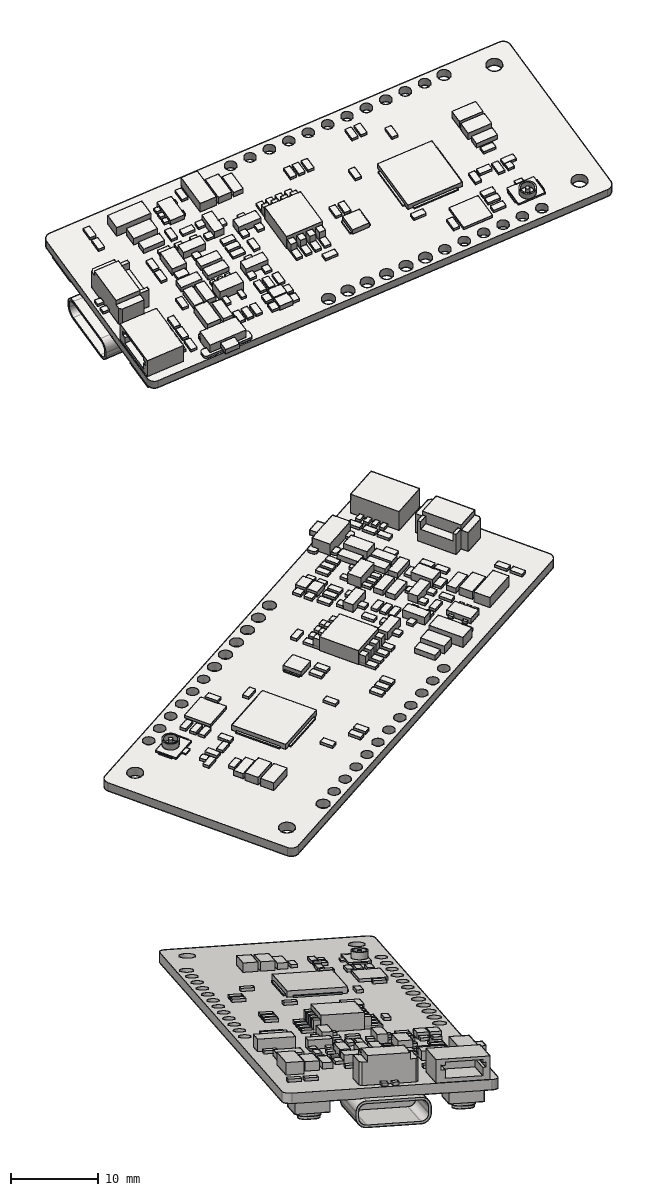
import cadquery as cq

BOARD_WIDTH = 25.4
BOARD_LENGTH = 60.75
BOARD_THICKNESS = 1.25
BOARD_CORNER_RADIUS = 0.9
UNDERSIDE = -BOARD_THICKNESS

MOUNTING_HOLE_DIAMETER = 1.9
MOUNTING_HOLE_X = 10.0
MOUNTING_HOLE_Y = 57.65
PIN_HOLE_DIAMETER = 1.4
WIDE_PIN_HOLE_DIAMETER = 1.6
PIN_HOLE_X = 11.45
PIN_HOLE_PITCH = 2.55
PIN_HOLES_PER_ROW = 12
FIRST_PIN_HOLE_Y = 23.9
WIDE_HOLE_ROWS = {-1: [11], 1: [0, 1, 2, 3, 4, 5]}

SMALL_CHIP = (1.6, 0.8, 0.4)
MEDIUM_CHIP = (2.7, 1.25, 0.75)
LARGE_CHIP = (3.1, 1.75, 1.1)
TALL_CHIP = (4.45, 2.1, 1.5)

SMALL_CHIPS_ALONG_X = [
    (3.9, 50.4), (3.9, 47.35), (8.75, 41.8), (-6.7, 42.35), (-8.75, 39.4), (-8.75, 38.25), (-3.3, 35.65),
    (-7.05, 31.55), (-7.05, 30.4), (-7.05, 29.25), (0.55, 32.1), (0.55, 30.9), (-10.2, 16.8), (0.4, 20.3),
    (6.2, 20.3), (6.2, 19.0), (6.2, 17.9), (-5.6, 12.8), (9.0, 15.8), (9.0, 14.7), (9.0, 13.6),
    (-2.6, 8.75), (-0.7, 8.75), (4.0, 8.9), (6.1, 6.7), (8.0, 6.7), (10.0, 6.7), (-10.35, 4.85),
    (-8.35, 4.85),
]
SMALL_CHIPS_ALONG_Y = [
    (0.75, 50.8), (3.4, 52.0), (3.4, 48.85), (6.6, 47.55), (7.7, 47.55), (9.0, 47.55), (5.6, 39.0),
    (5.95, 27.2), (-1.7, 18.1), (-0.55, 18.1), (0.55, 18.1), (-5.2, 14.75),
]
MEDIUM_CHIPS_ALONG_X = [(-8.55, 22.55), (4.1, 11.9), (4.1, 10.35), (7.45, 12.3)]
MEDIUM_CHIPS_ALONG_Y = [(-0.7, 51.15), (0.05, 14.6), (1.7, 14.6), (-5.4, 10.15), (1.75, 11.1)]
LARGE_CHIPS_ALONG_X = [(-8.7, 20.75), (7.4, 10.35)]
LARGE_CHIPS_ALONG_Y = [(-4.5, 51.1), (-2.5, 51.1), (-7.3, 10.0)]
TALL_CHIPS_ALONG_X = [(-9.3, 18.55)]
TALL_CHIPS_ALONG_Y = [(-9.6, 9.6)]

TRANSISTORS = [(-2.7, 21.2, 0), (3.15, 18.85, 0), (-4.3, 17.6, -90), (-2.5, 13.8, 180)]

LEAD_HEIGHT = 0.4
PAD_HEIGHT = 0.2


def block(x, y, length, width, height, base=0.0):
    """Box centred on (x, y), rising by height from base."""
    return cq.Workplane().box(length, width, height, centered=(True, True, False)).translate((x, y, base))


def span(x_range, y_range, z_range):
    """Box given by its limits along each axis."""
    sizes = [end - start for start, end in (x_range, y_range, z_range)]
    corner = (x_range[0], y_range[0], z_range[0])
    return cq.Workplane().box(*sizes, centered=False).translate(corner)


def drill(board, x, y, diameter):
    """Through hole in the board at (x, y)."""
    hole = cq.Workplane(origin=(x, y, UNDERSIDE)).circle(diameter / 2).extrude(BOARD_THICKNESS)
    return board.cut(hole)


def make_board():
    board = block(0, BOARD_LENGTH / 2, BOARD_WIDTH, BOARD_LENGTH, BOARD_THICKNESS, UNDERSIDE)
    board = board.edges("|Z").fillet(BOARD_CORNER_RADIUS)
    for side, wide_rows in WIDE_HOLE_ROWS.items():
        board = drill(board, side * MOUNTING_HOLE_X, MOUNTING_HOLE_Y, MOUNTING_HOLE_DIAMETER)
        for row in range(PIN_HOLES_PER_ROW):
            y = FIRST_PIN_HOLE_Y + row * PIN_HOLE_PITCH
            diameter = WIDE_PIN_HOLE_DIAMETER if row in wide_rows else PIN_HOLE_DIAMETER
            board = drill(board, side * PIN_HOLE_X, y, diameter)
    return board


def make_chips():
    groups = [
        (SMALL_CHIP, SMALL_CHIPS_ALONG_X, SMALL_CHIPS_ALONG_Y),
        (MEDIUM_CHIP, MEDIUM_CHIPS_ALONG_X, MEDIUM_CHIPS_ALONG_Y),
        (LARGE_CHIP, LARGE_CHIPS_ALONG_X, LARGE_CHIPS_ALONG_Y),
        (TALL_CHIP, TALL_CHIPS_ALONG_X, TALL_CHIPS_ALONG_Y),
    ]
    chips = []
    for (length, width, height), along_x, along_y in groups:
        chips += [block(x, y, length, width, height) for x, y in along_x]
        chips += [block(x, y, width, length, height) for x, y in along_y]
    chips.append(span((3.85, 4.7), (51.25, 52.05), (0, SMALL_CHIP[2])))
    return chips


def make_transistor(x, y, turn):
    """Three-lead transistor; at turn 0 its single lead points to -X."""
    body_length = 1.3
    body_width = 2.9
    body_height = 1.1
    lead_width = 0.85
    lead_reach = 0.9
    lead_x = (body_length + lead_reach) / 2
    outer_lead_y = 1.0
    pieces = [block(0, 0, body_length, body_width, body_height)]
    for px, py in [(-lead_x, 0), (lead_x, outer_lead_y), (lead_x, -outer_lead_y)]:
        pieces.append(block(px, py, lead_reach, lead_width, LEAD_HEIGHT))
    return [piece.rotate((0, 0, 0), (0, 0, 1), turn).translate((x, y, 0)) for piece in pieces]


def make_regulator():
    """Five-lead regulator with three leads to -X and two to +X."""
    x, y = 4.8, 14.5
    length, width, height = 1.75, 3.1, 1.5
    lead_reach = 1.1
    lead_width = 0.6
    lead_pitch = 1.0
    lead_x = (length + lead_reach) / 2
    pieces = [block(x, y, length, width, height)]
    for side, rows in ((-1, (-1, 0, 1)), (1, (-1, 1))):
        for row in rows:
            pieces.append(block(x + side * lead_x, y + row * lead_pitch, lead_reach, lead_width, LEAD_HEIGHT))
    return pieces


def make_sensor():
    """Flat chip with two leads on its +Y side and three on its -Y side."""
    x, y = -8.6, 14.5
    length, width, height = 3.15, 1.85, 0.75
    lead_width = 0.6
    lead_pitch = 0.9
    pieces = [block(x, y, length, width, height)]
    for side, reach, columns in ((1, 0.3, (-1, 1)), (-1, 0.6, (-1, 0, 1))):
        lead_y = y + side * (width + reach) / 2
        for column in columns:
            pieces.append(block(x + column * lead_pitch, lead_y, lead_width, reach, LEAD_HEIGHT))
    return pieces


def make_diodes():
    """Two small diodes along Y and a larger one along X, each with a lead at both ends."""
    y = 19.1
    length, width, height = 1.75, 1.35, 0.75
    lead_span, lead_width = 3.6, 1.05
    pieces = []
    for x in (8.1, 9.6):
        pieces.append(block(x, y, width, length, height))
        pieces.append(block(x, y, lead_width, lead_span, LEAD_HEIGHT))

    large_x, large_y = -1.75, 11.0
    large_length, large_width, large_height = 2.85, 1.85, 1.1
    large_lead_span, large_lead_width = 4.85, 1.5
    pieces.append(block(large_x, large_y, large_length, large_width, large_height))
    pieces.append(block(large_x, large_y, large_lead_span, large_lead_width, LEAD_HEIGHT))
    return pieces


def make_memory_chip():
    """Eight-lead chip with gull-wing leads, four to each side."""
    x, y = -0.05, 25.8
    body_size, body_width, height = 5.15, 4.7, 2.05
    lead_width = 0.8
    leads_per_side = 4
    lead_pitch = 1.25
    lead_reach = 2.2
    shoulder_reach = 0.85
    shoulder_height = 1.5
    pieces = [block(x, y, body_size, body_width, height)]
    for side in (-1, 1):
        for row in range(leads_per_side):
            lead_y = y + (row - (leads_per_side - 1) / 2) * lead_pitch
            for reach, lead_height in ((lead_reach, LEAD_HEIGHT), (shoulder_reach, shoulder_height)):
                lead_x = x + side * (body_size + reach) / 2
                pieces.append(block(lead_x, lead_y, reach, lead_width, lead_height))
    return pieces


def make_flat_chips():
    """Processor and driver with thin pad strips under them, and the crystal."""
    processor_x, processor_y = 0.6, 41.95
    processor_size = 7.1
    strip_span, strip_width = 7.7, 5.75
    chip_height = 0.75

    driver_x, driver_y = 3.15, 32.15
    driver_length, driver_width = 2.35, 2.25
    driver_strip_width, driver_strip_span = 2.05, 2.65

    crystal_x, crystal_y = 8.25, 44.4
    crystal_length, crystal_width, crystal_height = 3.4, 3.8, 0.4

    return [
        block(processor_x, processor_y, processor_size, processor_size, chip_height),
        block(processor_x, processor_y, strip_width, strip_span, PAD_HEIGHT),
        block(processor_x, processor_y, strip_span, strip_width, PAD_HEIGHT),
        block(driver_x, driver_y, driver_length, driver_width, chip_height),
        block(driver_x, driver_y, driver_strip_width, driver_strip_span, PAD_HEIGHT),
        block(crystal_x, crystal_y, crystal_length, crystal_width, crystal_height),
    ]


def make_antenna_socket():
    """Round coaxial socket on a thin base with solder pads at three sides."""
    x, y = 8.4, 51.5
    base_length, base_width, base_height = 2.7, 3.55, 0.25
    pad_width, pad_span = 1.75, 3.85
    signal_pad_length, signal_pad_width = 0.55, 1.0
    socket_x = 8.8
    outer_radius = 1.0
    bore_radius = 0.8
    pin_radius = 0.25
    height = 1.1
    signal_pad_x = x - (base_length + signal_pad_length) / 2
    socket = cq.Workplane().center(socket_x, y)
    return [
        block(x, y, base_length, base_width, base_height),
        block(x, y, pad_width, pad_span, PAD_HEIGHT),
        block(signal_pad_x, y, signal_pad_length, signal_pad_width, PAD_HEIGHT),
        socket.circle(outer_radius).circle(bore_radius).extrude(height),
        socket.circle(pin_radius).extrude(height),
    ]


def make_battery_connector():
    """Tall stepped housing with a recessed block behind it and two solder pins in front."""
    front_y, back_y, rear_y = 1.1, 4.3, 5.45
    shoulder_height, raised_height, rear_height = 2.8, 3.55, 3.0
    shoulder_x = (-3.55, 3.4)
    raised_x = (-2.6, 2.5)
    front_chamfer = 0.3
    recess_floor = 1.85
    recess_wall = 0.45
    pin_end_y = 0.3
    pin_half_width = 0.4

    housing = span(shoulder_x, (front_y, back_y), (0, shoulder_height))
    housing = housing.edges("|Z and <Y").chamfer(front_chamfer)
    housing = housing.union(span(raised_x, (front_y, back_y), (0, raised_height))).clean()

    recess_x = (raised_x[0] + recess_wall, raised_x[1] - recess_wall)
    rear = span(raised_x, (back_y, rear_y), (0, rear_height))
    rear = rear.cut(span(recess_x, (back_y, rear_y), (recess_floor, rear_height)))

    pieces = [housing, rear]
    for x in (-0.75, 0.55):
        pin_x = (x - pin_half_width, x + pin_half_width)
        pieces.append(span(pin_x, (pin_end_y, front_y), (0, LEAD_HEIGHT)))
    return pieces


def make_side_connector():
    """Four-pin connector with a keyed opening towards -Y."""
    front_y, back_y = 0.1, 4.9
    height = 2.8
    opening_depth = 3.7
    pin_count = 4
    first_pin_x = 7.0
    last_pin_x = 10.1
    pin_half_width = 0.3
    pin_end_y = 5.8

    opening_y = (front_y, front_y + opening_depth)
    housing = span((5.2, 11.6), (front_y, back_y), (0, height))
    housing = housing.cut(span((6.3, 10.7), opening_y, (0.5, 2.4)))
    housing = housing.cut(span((5.8, 11.1), opening_y, (1.5, 2.05)))

    pieces = [housing]
    pin_pitch = (last_pin_x - first_pin_x) / (pin_count - 1)
    for i in range(pin_count):
        x = first_pin_x + i * pin_pitch
        pin_x = (x - pin_half_width, x + pin_half_width)
        pieces.append(span(pin_x, (back_y, pin_end_y), (0, LEAD_HEIGHT)))
    return pieces


def make_side_button():
    """Push button at the +X edge with its plunger over the edge and four rounded feet."""
    x, y = 11.05, 10.35
    length, width, height = 2.35, 4.7, 1.7
    plunger_end = 13.4
    foot_end = 9.1
    foot_half_width = 0.55
    foot_radius = 0.4
    pieces = [
        block(x, y, length, width, height),
        span((x, plunger_end), (9.35, 11.2), (0.55, 1.3)),
    ]
    for foot_y in (8.6, 11.9):
        foot_y_range = (foot_y - foot_half_width, foot_y + foot_half_width)
        foot = span((foot_end, x), foot_y_range, (0, LEAD_HEIGHT))
        pieces.append(foot.edges("|Z and <X").fillet(foot_radius))
    end_feet = span((11.35, 12.5), (7.1, 13.45), (0, LEAD_HEIGHT))
    pieces.append(end_feet.edges("|Z").fillet(foot_radius))
    return pieces


def make_usb_socket():
    """Rounded shell under the board, open towards -Y, with a strip of contacts behind it."""
    sunk_depth = 0.05
    x_range = (-4.5, 4.35)
    y_range = (-1.25, 6.3)
    z_range = (-4.35, UNDERSIDE + sunk_depth)
    corner_radius = 1.25
    wall = 0.3
    cavity_depth = 6.2
    contacts_end_y = 7.1
    shell = span(x_range, y_range, z_range).edges("|Y").fillet(corner_radius)
    cavity = span(
        (x_range[0] + wall, x_range[1] - wall),
        (y_range[0], y_range[0] + cavity_depth),
        (z_range[0] + wall, z_range[1] - wall),
    )
    shell = shell.cut(cavity.edges("|Y").fillet(corner_radius - wall))
    contacts = span((-2.5, 2.5), (y_range[1], contacts_end_y), (UNDERSIDE - PAD_HEIGHT, UNDERSIDE))
    return [shell, contacts]


def make_bottom_buttons():
    """Push buttons under the board, on each side of the USB socket."""
    y = 2.25
    body_length, body_width, body_height = 4.15, 3.4, 1.5
    cap_length, cap_width, cap_height = 2.85, 2.05, 0.9
    cap_step = 0.1
    cap_step_height = 0.4
    pieces = []
    for x in (-9.25, 8.9):
        pieces.append(block(x, y, body_length, body_width, body_height, UNDERSIDE - body_height))
        for inset, height in ((0, cap_height - cap_step_height), (cap_step, cap_height)):
            cap = cq.Workplane().slot2D(cap_length - 2 * inset, cap_width - 2 * inset).extrude(height)
            pieces.append(cap.translate((x, y, UNDERSIDE - body_height - height)))
    return pieces


def make_bottom_connector():
    """Connector under the board with a plate and two end pads."""
    plate_x = (-9.55, 9.05)
    return [
        span((-8.9, 8.4), (33.35, 39.2), (-3.1, UNDERSIDE)),
        span(plate_x, (32.8, 34.95), (-2.8, -2.25)),
        span(plate_x, (35.0, 36.75), (-1.55, UNDERSIDE)),
    ]


parts = make_chips()
for place_x, place_y, place_turn in TRANSISTORS:
    parts += make_transistor(place_x, place_y, place_turn)
parts += make_regulator()
parts += make_sensor()
parts += make_diodes()
parts += make_memory_chip()
parts += make_flat_chips()
parts += make_antenna_socket()
parts += make_battery_connector()
parts += make_side_connector()
parts += make_side_button()
parts += make_usb_socket()
parts += make_bottom_buttons()
parts += make_bottom_connector()

result = cq.Workplane(make_board().val().fuse(*[part.val() for part in parts]))